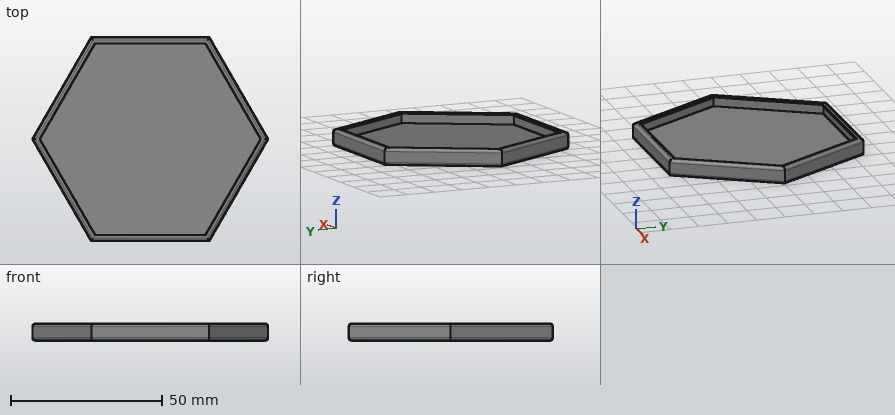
import cadquery as cq

corner_diameter = 77.8
height = 5.7
edge_radius = 1.0
pocket_depth = 3.65

rim_width = 2.1
lip_overhang = 0.55
lip_thickness = 0.4
wall = rim_width - lip_overhang


def inset_hexagon(inset, bottom, top):
    """Hexagonal prism whose sides lie the inset distance inside the tray's sides."""
    return (
        cq.Workplane("XY")
        .workplane(offset=bottom)
        .polygon(6, corner_diameter)
        .offset2D(-inset)
        .extrude(top - bottom)
    )


body = (
    cq.Workplane("XY")
    .polygon(6, corner_diameter)
    .extrude(height)
    .faces("<Z or >Z")
    .edges()
    .fillet(edge_radius)
)

floor_level = height - pocket_depth
lip_underside = height - lip_thickness
opening = inset_hexagon(rim_width, floor_level, height)
undercut = inset_hexagon(wall, floor_level, lip_underside)

result = body.cut(opening).cut(undercut)